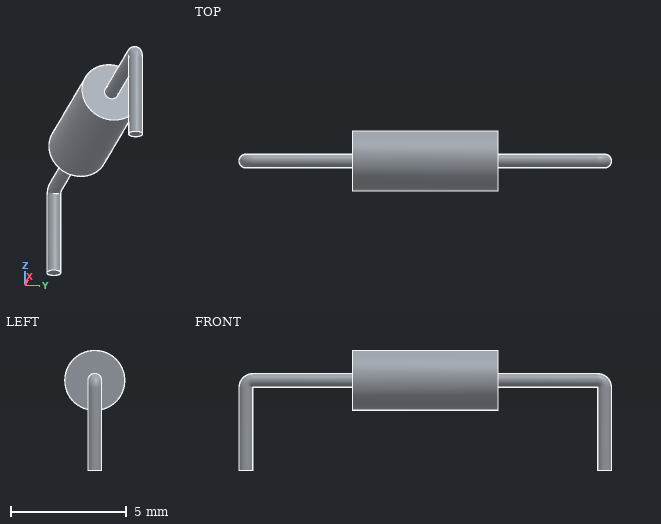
import cadquery as cq

total_length = 16.1
total_height = 5.2
housing_diameter = 2.6
housing_length = 6.3
lead_diameter = 0.6

lead_radius = lead_diameter / 2
bend_radius = lead_radius
housing_end = housing_length / 2
lead_leg_x = total_length / 2 - lead_radius
bend_start = lead_leg_x - bend_radius
lead_tip_z = housing_diameter / 2 - total_height


def make_housing():
    return (
        cq.Workplane("YZ", origin=(-housing_end, 0, 0))
        .circle(housing_diameter / 2)
        .extrude(housing_length)
    )


def make_lead(side):
    """Bent wire butting against the housing end on the given side (+1 or -1 along X)."""
    centreline = (
        cq.Workplane("XZ")
        .moveTo(side * housing_end, 0)
        .lineTo(side * bend_start, 0)
        .radiusArc((side * lead_leg_x, -bend_radius), side * bend_radius)
        .lineTo(side * lead_leg_x, lead_tip_z)
    )
    return (
        cq.Workplane("YZ", origin=(side * housing_end, 0, 0))
        .circle(lead_radius)
        .sweep(centreline)
    )


housing = make_housing()
leads = [make_lead(side) for side in (-1, 1)]

result = cq.Compound.makeCompound([housing.val(), *[lead.val() for lead in leads]])